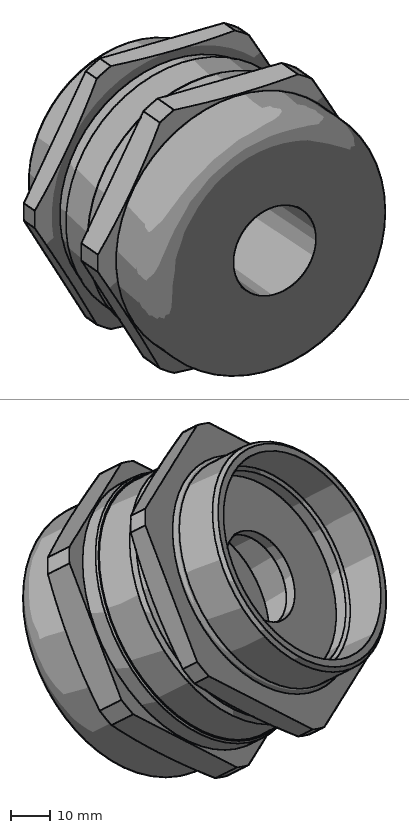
import cadquery as cq
import math

thread_chamfer = 1.0
ring_start = 12.9
body_nut_start = 14.85
body_nut_end = 21.2
neck_end = 25.0
sleeve_start = 26.0
sleeve_end = 36.9
cap_start = 37.4
cap_nut_start = 42.0
cap_nut_end = 51.0
overall_length = 68.0

thread_dia = 63.0
ring_dia = 65.1
neck_dia = 70.0
sleeve_dia = 72.55
cap_dia = 74.2
cap_edge_chamfer = cap_start - sleeve_end
cap_rounding = 7.8

across_flats = 75.0
corner_dia = 83.9
nut_cone_angle = 15.0

entry_dia = 57.0
entry_depth = 11.0
inner_dia = 55.0
inner_start = 11.6
seal_start = 15.0
seal_thickness = 3.0
seal_hole_dia = 25.0
chamber_dia = 44.0
chamber_end = 33.55


def outer_body():
    """Revolve the stepped outer outline, from the thread to the domed cap."""
    thread_r = thread_dia / 2
    ring_r = ring_dia / 2
    neck_r = neck_dia / 2
    sleeve_r = sleeve_dia / 2
    cap_r = cap_dia / 2
    ring_edge = (body_nut_start - ring_start) / 2
    dome_mid_x = overall_length - cap_rounding * (1 - math.sqrt(0.5))
    dome_mid_r = cap_r - cap_rounding * (1 - math.sqrt(0.5))
    outline = (
        cq.Workplane("XY")
        .moveTo(0, 0)
        .lineTo(0, thread_r - thread_chamfer)
        .lineTo(thread_chamfer, thread_r)
        .lineTo(ring_start, thread_r)
        .lineTo(ring_start, ring_r - ring_edge)
        .threePointArc((ring_start + ring_edge, ring_r), (body_nut_start, ring_r - ring_edge))
        .lineTo(body_nut_start, neck_r)
        .lineTo(neck_end, neck_r)
        .lineTo(sleeve_start, sleeve_r)
        .lineTo(sleeve_end, sleeve_r)
        .lineTo(sleeve_end, cap_r - cap_edge_chamfer)
        .lineTo(cap_start, cap_r)
        .lineTo(overall_length - cap_rounding, cap_r)
        .threePointArc((dome_mid_x, dome_mid_r), (overall_length, cap_r - cap_rounding))
        .lineTo(overall_length, 0)
        .close()
    )
    return outline.revolve(360, (0, 0, 0), (1, 0, 0))


def hex_nut(start, end):
    """Hexagon with turned corners and a conical chamfer on its +X side."""
    corner_r = corner_dia / 2
    flat_r = across_flats / 2
    cone_length = (corner_r - flat_r) * math.tan(math.radians(nut_cone_angle))
    hexagon = (
        cq.Workplane("YZ", origin=(start, 0, 0))
        .polygon(6, across_flats, circumscribed=True)
        .extrude(end - start)
        .rotate((0, 0, 0), (1, 0, 0), 90)
    )
    turned_blank = (
        cq.Workplane("XY")
        .moveTo(start, 0)
        .lineTo(start, corner_r)
        .lineTo(end - cone_length, corner_r)
        .lineTo(end, flat_r)
        .lineTo(end, 0)
        .close()
        .revolve(360, (0, 0, 0), (1, 0, 0))
    )
    return hexagon.intersect(turned_blank)


def bore():
    """Stepped bore: wide entry, thin seal hole, inner chamber and narrow exit."""
    seal_end = seal_start + seal_thickness
    return (
        cq.Workplane("XY")
        .moveTo(0, 0)
        .lineTo(0, entry_dia / 2)
        .lineTo(entry_depth, entry_dia / 2)
        .lineTo(inner_start, inner_dia / 2)
        .lineTo(seal_start, inner_dia / 2)
        .lineTo(seal_start, seal_hole_dia / 2)
        .lineTo(seal_end, seal_hole_dia / 2)
        .lineTo(seal_end, chamber_dia / 2)
        .lineTo(chamber_end, chamber_dia / 2)
        .lineTo(chamber_end, seal_hole_dia / 2)
        .lineTo(overall_length, seal_hole_dia / 2)
        .lineTo(overall_length, 0)
        .close()
        .revolve(360, (0, 0, 0), (1, 0, 0))
    )


result = (
    outer_body()
    .union(hex_nut(body_nut_start, body_nut_end))
    .union(hex_nut(cap_nut_start, cap_nut_end))
    .cut(bore())
)